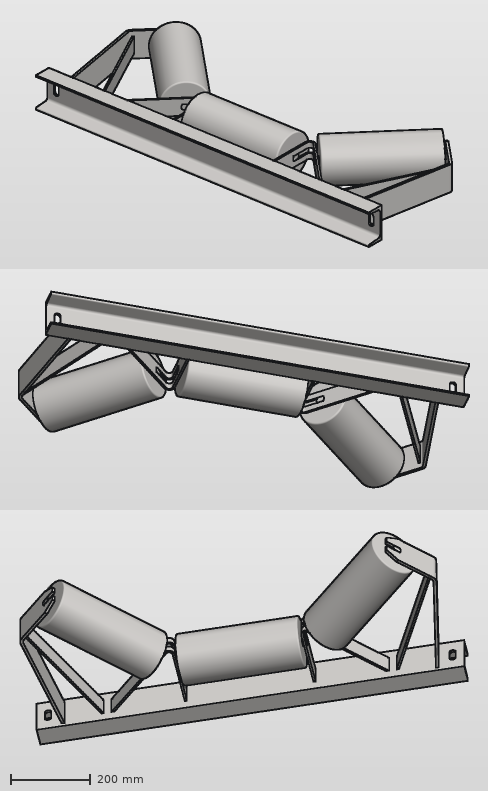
import cadquery as cq
import math


beam_length = 1100.0
beam_depth = 51.0
beam_height = 100.0
web_thickness = 7.0
flange_tip_thickness = 7.0
flange_root_thickness = 10.0
flange_root_radius = 8.0
flange_tip_radius = 4.0
mount_slot_width = 16.0
mount_slot_length = 36.0
mount_slot_inset = 30.0

roller_diameter = 133.0
roller_length = 315.0
roller_edge_radius = 4.0
shaft_diameter = 22.0
shaft_flat_width = 15.0
trough_angle = 45.0
center_roller_y = 117.0
side_roller_x = 332.0
side_roller_y = 255.0

end_gap = 5.0
outer_thickness = 8.0
outer_width = 80.0
outer_leg_lean = 10.0
outer_foot_x = 485.0
outer_bend_radius = 19.0
outer_tip_rise = 32.0
tip_chamfer_length = 34.0
tip_chamfer_width = 16.0
inner_thickness = 5.0
inner_width = 50.0
inner_bend_radius = 14.0
strut_thickness = 5.0
strut_width = 50.0
strut_lean = 25.7
strut_foot_x = 380.0

bracket_face = roller_length / 2 + end_gap
inner_bracket_back = bracket_face + inner_thickness
outer_bracket_back = bracket_face + outer_thickness


def along(point, angle, distance):
    """Point at a distance from another one, in a direction given in degrees from +X."""
    turn = math.radians(angle)
    return (point[0] + distance * math.cos(turn), point[1] + distance * math.sin(turn))


def crossing(point_a, angle_a, point_b, angle_b):
    """Crossing of two lines, each given by a point and a direction."""
    a, b = math.radians(angle_a), math.radians(angle_b)
    dx, dy = point_b[0] - point_a[0], point_b[1] - point_a[1]
    distance = (dx * math.sin(b) - dy * math.cos(b)) / math.sin(b - a)
    return along(point_a, angle_a, distance)


side_center = (-side_roller_x, side_roller_y)
axis_angle = -trough_angle
plate_angle = axis_angle + 90
base_point = (0, 0)


def plate_point(axial, rise=0.0):
    """Point given along the left roller's axis (positive inward) and up along its plates."""
    return along(along(side_center, axis_angle, axial), plate_angle, rise)


def on_base(point, angle):
    """Point where a line meets the beam's back face."""
    return crossing(point, angle, base_point, 0)


def slab(outline, width):
    """Extrude an outline in the XY plane to a width centred on Z = 0."""
    return outline.extrude(width).translate((0, 0, -width / 2))


def lengthwise(section, length):
    """Extrude a section in the YZ plane to a length centred on X = 0."""
    return section.extrude(length).translate((-length / 2, 0, 0))


def mirrored(body):
    """Right-hand twin of a left-hand body."""
    return body.mirror("YZ")


def place_side(body):
    """Move a body from roller coordinates (axis along X) to the left side roller."""
    return body.rotate((0, 0, 0), (0, 0, 1), axis_angle).translate((*side_center, 0))


def bent_plate(points, width, outer_corner, inner_corner, outer_radius, thickness):
    """Strip of a given width along Z, with its bend rounded inside and outside."""
    plate = slab(cq.Workplane("XY").polyline(points).close(), width)
    for corner, radius in ((outer_corner, outer_radius), (inner_corner, outer_radius - thickness)):
        plate = plate.edges("|Z").edges(cq.NearestToPointSelector((*corner, 0))).fillet(radius)
    return plate


def make_beam():
    """Channel open toward -Y, with tapered flanges and a mounting slot near each end."""
    half_height = beam_height / 2
    section = [
        (0, -half_height),
        (-beam_depth, -half_height),
        (-beam_depth, -half_height + flange_tip_thickness),
        (-web_thickness, -half_height + flange_root_thickness),
        (-web_thickness, half_height - flange_root_thickness),
        (-beam_depth, half_height - flange_tip_thickness),
        (-beam_depth, half_height),
        (0, half_height),
    ]
    beam = lengthwise(cq.Workplane("YZ").polyline(section).close(), beam_length)
    for tip_or_root, radius in ((section[2], flange_tip_radius), (section[3], flange_root_radius)):
        for side in (1, -1):
            corner = (0, tip_or_root[0], side * tip_or_root[1])
            beam = beam.edges("|X").edges(cq.NearestToPointSelector(corner)).fillet(radius)
    slot_x = beam_length / 2 - mount_slot_inset
    slots = (
        cq.Workplane("XZ")
        .pushPoints([(-slot_x, 0), (slot_x, 0)])
        .slot2D(mount_slot_length, mount_slot_width, 90)
        .extrude(web_thickness)
    )
    return beam.cut(slots)


def make_shaft(left_end, right_end):
    """Shaft along X with flats above and below."""
    length = left_end + right_end
    middle = (right_end - left_end) / 2
    bar = lengthwise(cq.Workplane("YZ").circle(shaft_diameter / 2), length)
    flats = cq.Workplane("XY").box(length, shaft_diameter, shaft_flat_width)
    return bar.intersect(flats).translate((middle, 0, 0))


def make_roller(left_end, right_end):
    """Roller along X, joined with its shaft, whose ends lie at the given distances."""
    drum = lengthwise(cq.Workplane("YZ").circle(roller_diameter / 2), roller_length)
    drum = drum.edges().fillet(roller_edge_radius)
    return drum.union(make_shaft(left_end, right_end))


def make_outer_bracket(side_roller):
    """Leaning leg bent inward at the top, with an open slot for the outer end of the shaft."""
    leg_angle = 90 + outer_leg_lean
    foot_outside = (-outer_foot_x, 0)
    foot_inside = (-outer_foot_x + outer_thickness / math.cos(math.radians(outer_leg_lean)), 0)
    bend_outside = crossing(foot_outside, leg_angle, plate_point(-outer_bracket_back), plate_angle)
    bend_inside = crossing(foot_inside, leg_angle, plate_point(-bracket_face), plate_angle)
    outline = [
        foot_outside,
        bend_outside,
        plate_point(-outer_bracket_back, outer_tip_rise),
        plate_point(-bracket_face, outer_tip_rise),
        bend_inside,
        foot_inside,
    ]
    bracket = bent_plate(outline, outer_width, bend_outside, bend_inside, outer_bend_radius, outer_thickness)

    for side in (1, -1):
        edge = side * outer_width / 2
        corner = (
            cq.Workplane("YZ")
            .polyline([
                (outer_tip_rise, edge),
                (outer_tip_rise - tip_chamfer_length, edge),
                (outer_tip_rise, edge - side * tip_chamfer_width),
            ])
            .close()
            .extrude(-outer_bracket_back)
        )
        bracket = bracket.cut(place_side(corner))

    slot = (
        cq.Workplane("XY")
        .box(outer_bracket_back, outer_tip_rise, shaft_flat_width, centered=(False, False, True))
        .translate((-outer_bracket_back, 0, 0))
    )
    bracket = bracket.cut(place_side(slot))
    return bracket.cut(side_roller)


def make_inner_bracket(side_roller, middle_roller):
    """Upright post folded back down to the beam, carrying two neighbouring shafts."""
    post_front = (-bracket_face, 0)
    post_back = (-inner_bracket_back, 0)
    bend_outside = crossing(post_front, 90, plate_point(bracket_face), plate_angle)
    bend_inside = crossing(post_back, 90, plate_point(inner_bracket_back), plate_angle)
    outline = [
        post_front,
        bend_outside,
        on_base(plate_point(bracket_face), plate_angle),
        on_base(plate_point(inner_bracket_back), plate_angle),
        bend_inside,
        post_back,
    ]
    bracket = bent_plate(outline, inner_width, bend_outside, bend_inside, inner_bend_radius, inner_thickness)

    slot_outline = [
        plate_point(bracket_face),
        plate_point(inner_bracket_back),
        (-inner_bracket_back, center_roller_y),
        (-bracket_face, center_roller_y),
        bend_outside,
    ]
    slot = slab(cq.Workplane("XY").polyline(slot_outline).close(), shaft_flat_width)
    return bracket.cut(slot).cut(side_roller).cut(middle_roller)


def make_strut():
    """Brace from the beam to the underside of the outer bracket's plate."""
    strut_angle = 90 + strut_lean
    half_foot = strut_thickness / 2 / math.cos(math.radians(strut_lean))
    foot_left = (-strut_foot_x - half_foot, 0)
    foot_right = (-strut_foot_x + half_foot, 0)
    outline = [
        foot_left,
        crossing(foot_left, strut_angle, plate_point(-bracket_face), plate_angle),
        crossing(foot_right, strut_angle, plate_point(-bracket_face), plate_angle),
        foot_right,
    ]
    return slab(cq.Workplane("XY").polyline(outline).close(), strut_width)


beam = make_beam()
center_roller = make_roller(inner_bracket_back, inner_bracket_back).translate((0, center_roller_y, 0))
left_roller = place_side(make_roller(outer_bracket_back, inner_bracket_back))
left_outer_bracket = make_outer_bracket(left_roller)
left_inner_bracket = make_inner_bracket(left_roller, center_roller)
left_strut = make_strut()

bodies = [beam, center_roller]
for left_body in (left_roller, left_outer_bracket, left_inner_bracket, left_strut):
    bodies += [left_body, mirrored(left_body)]

result = cq.Compound.makeCompound([body.val() for body in bodies])